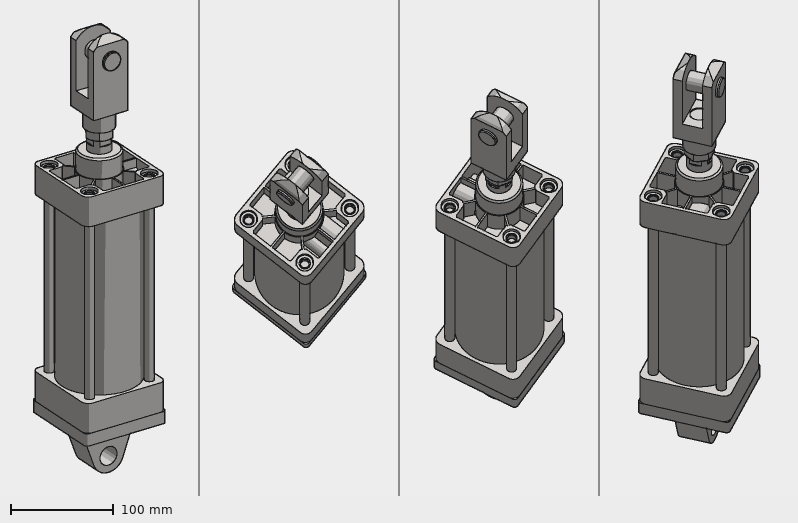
import cadquery as cq
import math

eye_radius = 18.0
bracket_plate_bottom = 53.5
lower_cap_bottom = 66.5
cap_height = 32.0
lower_cap_top = lower_cap_bottom + cap_height
upper_cap_bottom = 290.5
upper_cap_top = upper_cap_bottom + cap_height
collar_top = 344.5
flats_bottom = 352.5
nut_bottom = 358.5
fork_bottom = 369.0
fork_block_bottom = 388.5
slot_floor = 408.0
pin_height = 448.0
fork_shoulder_y = 462.5
fork_shoulder_x = 467.0
fork_top = 473.0

cap_width = 94.0
cap_corner_radius = 8.0
tube_diameter = 87.0
tie_rod_diameter = 10.0
tie_rod_spacing = 70.0
collar_diameter = 46.0
collar_base_diameter = 48.0
collar_chamfer = 2.0

recess_depth = 22.5
recess_floor = upper_cap_top - recess_depth
recess_length = 86.0
recess_arm_width = 47.5
boss_reach = 45.0
recess_inner_bevel = 4.0
recess_end_fillet = 2.0
rib_thickness = 2.0
port_boss_diameter = 23.5
port_boss_x = -6.5
port_boss_rise = 4.0
screw_boss_diameter = 16.0
screw_boss_x = 9.5
screw_boss_rise = -3.0

nut_pocket_diameter = 17.0
nut_pocket_depth = 9.5
tie_nut_diameter = 16.0
tie_nut_drop = 3.0
socket_mouth_diameter = 11.0
socket_mouth_depth = 1.5
socket_diameter = 8.5
socket_depth = 7.0

rod_diameter = 25.0
rod_flats_width = 21.8
nut_across_flats = 26.0
nut_across_corners = nut_across_flats / math.cos(math.pi / 6)
nut_turn = 87
nut_chamfer_radial = 2.0
nut_chamfer_axial = 1.0

fork_width = 40.0
fork_gap = 21.0
fork_neck_diameter = 32.0
thread_diameter = 18.5
stud_length = 38.0
crown_width = 7.5
dome_radius = 26.0
pin_diameter = 20.0
pin_length = 47.0
pin_chamfer_radial = 0.5
pin_chamfer_axial = 1.5

plate_corner_radius = 4.0
lug_thickness = 32.0
lug_base_width = 64.0
eye_diameter = 20.0


def cylinder(diameter, bottom, top):
    return cq.Workplane("XY", origin=(0, 0, bottom)).circle(diameter / 2).extrude(top - bottom)


def square_block(width, bottom, top):
    return cq.Workplane("XY", origin=(0, 0, bottom)).rect(width, width).extrude(top - bottom)


def rounded_block(corner_radius, bottom, top):
    return square_block(cap_width, bottom, top).edges("|Z").fillet(corner_radius)


def tie_rod_cylinders(diameter, bottom, top):
    return (
        cq.Workplane("XY", origin=(0, 0, bottom))
        .rect(tie_rod_spacing, tie_rod_spacing, forConstruction=True)
        .vertices()
        .circle(diameter / 2)
        .extrude(top - bottom)
    )


def recess_ribs():
    """Straight and diagonal ribs between the collar and the walls of the recess."""
    ribs = None
    for angle in (0, 45, 90, 135):
        rib = (
            cq.Workplane("XY", origin=(0, 0, recess_floor))
            .rect(recess_length, rib_thickness)
            .extrude(recess_depth)
            .rotate((0, 0, 0), (0, 0, 1), angle)
        )
        ribs = rib if ribs is None else ribs.union(rib)
    return ribs


def recess_boss(diameter, x, rise):
    """Round boss along Y from the collar to the +Y wall, its axis at a rise above the recess floor."""
    return (
        cq.Workplane("XZ", origin=(x, 0, recess_floor + rise))
        .circle(diameter / 2)
        .extrude(-boss_reach)
    )


def upper_cap_recess():
    """Cross-shaped pocket around the collar, with rounded ends and bevelled inner corners."""
    cross = (
        cq.Workplane("XY", origin=(0, 0, recess_floor))
        .rect(recess_length, recess_arm_width)
        .extrude(recess_depth)
    )
    cross = cross.union(cross.rotate((0, 0, 0), (0, 0, 1), 90))
    half = recess_length / 2 - recess_end_fillet
    middle = cq.selectors.BoxSelector((-half, -half, 0), (half, half, fork_top))
    cross = cross.edges("|Z").edges(cq.selectors.InverseSelector(middle)).fillet(recess_end_fillet)
    return cross.edges("|Z").edges(middle).chamfer(recess_inner_bevel)


def lock_nut():
    hexagon = (
        cq.Workplane("XY", origin=(0, 0, nut_bottom))
        .polygon(6, nut_across_corners)
        .extrude(fork_bottom - nut_bottom)
        .rotate((0, 0, 0), (0, 0, 1), nut_turn)
    )
    envelope = cylinder(nut_across_corners, nut_bottom, fork_bottom)
    envelope = envelope.faces("<Z or >Z").chamfer(nut_chamfer_axial, nut_chamfer_radial)
    return hexagon.intersect(envelope)


def make_cylinder():
    """Caps, tube, tie rods, piston rod and lock nut as one body."""
    body = rounded_block(cap_corner_radius, lower_cap_bottom, lower_cap_top)
    body = body.union(rounded_block(cap_corner_radius, upper_cap_bottom, upper_cap_top))
    body = body.cut(upper_cap_recess()).union(recess_ribs())
    body = body.union(recess_boss(port_boss_diameter, port_boss_x, port_boss_rise))
    body = body.union(recess_boss(screw_boss_diameter, screw_boss_x, screw_boss_rise))

    body = body.union(cylinder(tube_diameter, lower_cap_top, upper_cap_bottom))
    body = body.union(tie_rod_cylinders(tie_rod_diameter, lower_cap_top, upper_cap_bottom))

    pocket_floor = upper_cap_top - nut_pocket_depth
    nut_top = upper_cap_top - tie_nut_drop
    body = body.cut(tie_rod_cylinders(nut_pocket_diameter, pocket_floor, upper_cap_top))
    body = body.union(tie_rod_cylinders(tie_nut_diameter, pocket_floor, nut_top))
    body = body.cut(tie_rod_cylinders(socket_mouth_diameter, nut_top - socket_mouth_depth, nut_top))
    body = body.cut(tie_rod_cylinders(socket_diameter, nut_top - socket_depth, nut_top))

    body = body.union(cylinder(collar_base_diameter, recess_floor, upper_cap_top))
    collar = cylinder(collar_diameter, upper_cap_top, collar_top)
    body = body.union(collar.faces(">Z").chamfer(collar_chamfer))
    body = body.union(cylinder(rod_diameter, collar_top, flats_bottom))
    flats = cylinder(rod_diameter, flats_bottom, nut_bottom)
    flats = flats.intersect(square_block(rod_flats_width, flats_bottom, nut_bottom))
    stud = cylinder(thread_diameter, fork_bottom, fork_bottom + stud_length)
    return body.union(flats).union(lock_nut()).union(stud)


def make_bracket():
    """Square plate under the lower cap, with a tapered lug and a pivot eye."""
    plate = rounded_block(plate_corner_radius, bracket_plate_bottom, lower_cap_bottom)
    half_base = lug_base_width / 2
    lug_height = bracket_plate_bottom - eye_radius
    reach = math.hypot(half_base, lug_height)
    tangent_angle = math.atan2(lug_height, half_base) - math.acos(eye_radius / reach)
    tangent_y = eye_radius * math.cos(tangent_angle)
    tangent_z = eye_radius * (1 + math.sin(tangent_angle))
    lug_side = cq.Workplane("YZ", origin=(-lug_thickness / 2, 0, 0))
    lug = (
        lug_side
        .moveTo(-half_base, bracket_plate_bottom)
        .lineTo(-tangent_y, tangent_z)
        .threePointArc((0, 0), (tangent_y, tangent_z))
        .lineTo(half_base, bracket_plate_bottom)
        .close()
        .extrude(lug_thickness)
    )
    eye = lug_side.center(0, eye_radius).circle(eye_diameter / 2).extrude(lug_thickness)
    return plate.union(lug).cut(eye)


def make_pin():
    """Plain round pin with a shallow taper at both ends, revolved about its X axis."""
    radius = pin_diameter / 2
    end = pin_length / 2
    taper_start = end - pin_chamfer_axial
    end_radius = radius - pin_chamfer_radial
    return (
        cq.Workplane("XZ", origin=(0, 0, pin_height))
        .moveTo(-end, 0)
        .lineTo(-end, end_radius)
        .lineTo(-taper_start, radius)
        .lineTo(taper_start, radius)
        .lineTo(end, end_radius)
        .lineTo(end, 0)
        .close()
        .revolve(360, (0, 0, 0), (1, 0, 0))
    )


def dome_profile(plane, crown_half_width, shoulder):
    """Fork block outline with its top rounded down from a flat crown to the shoulders."""
    half = fork_width / 2
    drop = fork_top - shoulder
    run = half - crown_half_width
    chord = math.hypot(run, drop)
    bulge = dome_radius - math.sqrt(dome_radius**2 - chord**2 / 4)
    middle_x = (crown_half_width + half) / 2 + bulge * drop / chord
    middle_z = (fork_top + shoulder) / 2 + bulge * run / chord
    return (
        cq.Workplane(plane)
        .workplane(offset=-half)
        .moveTo(-half, fork_block_bottom)
        .lineTo(-half, shoulder)
        .threePointArc((-middle_x, middle_z), (-crown_half_width, fork_top))
        .lineTo(crown_half_width, fork_top)
        .threePointArc((middle_x, middle_z), (half, shoulder))
        .lineTo(half, fork_block_bottom)
        .close()
        .extrude(fork_width)
    )


def make_fork(pin):
    """Slotted block on a round neck, bored for the pin and for the rod stud."""
    block = dome_profile("YZ", crown_width / 2, fork_shoulder_y)
    block = block.intersect(dome_profile("XZ", fork_gap / 2, fork_shoulder_x))
    slot_height = fork_top - slot_floor
    slot = cq.Workplane("XY", origin=(0, 0, slot_floor)).rect(fork_gap, fork_width).extrude(slot_height)
    neck = cylinder(fork_neck_diameter, fork_bottom, fork_block_bottom)
    thread_hole = cylinder(thread_diameter, fork_bottom, slot_floor)
    return block.cut(slot).union(neck).cut(thread_hole).cut(pin)


cylinder_body = make_cylinder()
bracket = make_bracket()
pin = make_pin()
fork = make_fork(pin)

result = cq.Compound.makeCompound([cylinder_body.val(), bracket.val(), fork.val(), pin.val()])